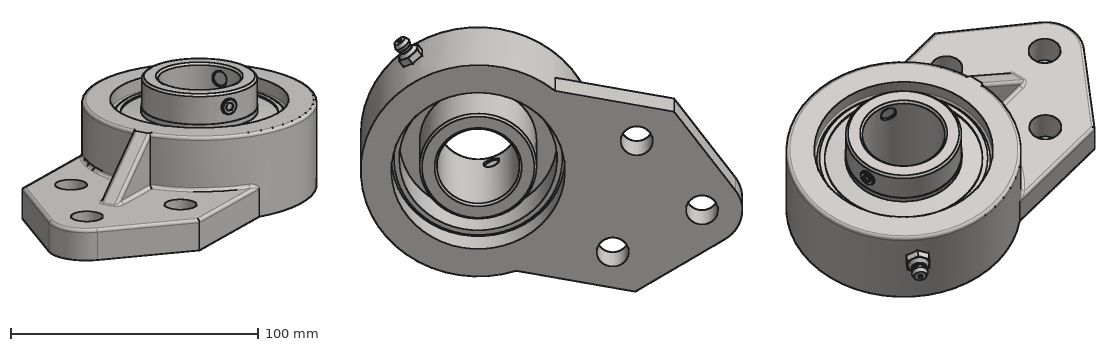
import cadquery as cq
import math


ring_diameter = 95.0
ring_radius = ring_diameter / 2
ring_height = 36.3
edge_radius = 1.4
overall_length = 156
flange_height = 13.4
flange_half_width = 41.2
flange_corner_y = -72.7
flange_tip_radius = 15.6
flange_tip_y = ring_radius - overall_length
bolt_hole_diameter = 13.0
side_hole_x = 25.5
side_hole_y = -60.4
tip_hole_y = -92.2
rib_width = 8.0
rib_foot_y = -74.9
seat_mouth_diameter = 72.2
seat_mouth_depth = 5.5

outer_ring_diameter = 70.2
outer_ring_chamfer = 1.1
outer_ring_top = 31.0
bearing_center_z = 20.9
outer_ring_width = 2 * (outer_ring_top - bearing_center_z)
seal_diameter = 63.8
seal_recess = 0.6
seal_rise = 1.0
seal_thickness = 2.3
inner_ring_diameter = 47.3
inner_ring_bottom = 3.5
inner_ring_shoulder_z = 33.5
collar_diameter = 46.8
collar_top = 46.3
collar_chamfer = 1.0
bore_diameter = 33.4

screw_diameter = 6.7
screw_end_diameter = 6.0
screw_z = 40.2
screw_inner_end = 17.2
screw_outer_end = 24.3
screw_angles = (90, -30)
socket_width = 3.1
socket_depth = 0.6

nipple_z = 23.2
nipple_angle = 135
nipple_hole_bottom = 42.7
nipple_hex_end = 50.5
nipple_neck_start = 52.1
nipple_neck_end = 53.4
nipple_head = 54.9
nipple_face = 56.8
nipple_tip = 57.4
nipple_hex_width = 9.0
nipple_shank_diameter = 6.0
nipple_cone_diameter = 8.7
nipple_neck_diameter = 5.0
nipple_head_diameter = 6.7
nipple_face_diameter = 5.1
nipple_tip_diameter = 1.5

position_tolerance = 0.02


def radial_plane(angle, distance, z):
    """Plane facing away from the bearing axis; its local Y points up."""
    a = math.radians(angle)
    outward = (math.cos(a), math.sin(a), 0)
    sideways = (-math.sin(a), math.cos(a), 0)
    origin = (distance * outward[0], distance * outward[1], z)
    return cq.Plane(origin=origin, xDir=sideways, normal=outward)


def hexagon_corners(across_flats):
    """Across-corner size of a hexagon."""
    return across_flats / math.cos(math.radians(30))


def make_flange():
    """Plate with straight sides and a rounded tip tangent to the slanted edges."""
    tip_center_y = flange_tip_y + flange_tip_radius
    dx = flange_half_width
    dy = flange_corner_y - tip_center_y
    corner_distance = math.hypot(dx, dy)
    tangent_angle = math.atan2(dy, dx) - math.acos(flange_tip_radius / corner_distance)
    tangent_x = flange_tip_radius * math.cos(tangent_angle)
    tangent_y = tip_center_y + flange_tip_radius * math.sin(tangent_angle)
    return (
        cq.Workplane("XY")
        .moveTo(-flange_half_width, 0)
        .lineTo(-flange_half_width, flange_corner_y)
        .lineTo(-tangent_x, tangent_y)
        .threePointArc((0, flange_tip_y), (tangent_x, tangent_y))
        .lineTo(flange_half_width, flange_corner_y)
        .lineTo(flange_half_width, 0)
        .close()
        .extrude(flange_height)
    )


def make_rib():
    """Sloping rib from the ring's top edge down to the flange."""
    inner_y = -ring_radius + 2 * edge_radius
    rib = (
        cq.Workplane("YZ")
        .moveTo(inner_y, 0)
        .lineTo(inner_y, ring_height)
        .lineTo(-ring_radius, ring_height)
        .lineTo(rib_foot_y, flange_height)
        .lineTo(rib_foot_y, 0)
        .close()
        .extrude(rib_width / 2, both=True)
    )
    slope_middle = ((rib_foot_y - ring_radius) / 2, (flange_height + ring_height) / 2)
    for side in (-1, 1):
        edge_point = (side * rib_width / 2, *slope_middle)
        rib = rib.edges(cq.selectors.NearestToPointSelector(edge_point)).fillet(edge_radius)
    return rib


def is_on_flange_top(edge):
    """True for the rim of the flange top and for the corners at the foot of the ring and rib."""
    box = edge.BoundingBox()
    starts_there = abs(box.zmin - flange_height) < position_tolerance
    ends_there = abs(box.zmax - flange_height) < position_tolerance
    return starts_there and ends_there


def make_housing():
    ring = cq.Workplane("XY").circle(ring_radius).extrude(ring_height)
    ring = ring.faces(">Z").edges().fillet(edge_radius)
    housing = ring.union(make_flange()).union(make_rib())
    flange_edges = [edge for edge in housing.edges().vals() if is_on_flange_top(edge)]
    housing = housing.newObject(flange_edges).fillet(edge_radius)

    bolt_holes = [(-side_hole_x, side_hole_y), (side_hole_x, side_hole_y), (0, tip_hole_y)]
    housing = housing.cut(
        cq.Workplane("XY").pushPoints(bolt_holes).circle(bolt_hole_diameter / 2).extrude(ring_height)
    )
    return housing.cut(make_bearing_seat()).cut(make_nipple_shank())


def make_bearing_seat():
    """Through bore for the outer ring and a wider mouth with a rounded bottom corner."""
    seat_radius = outer_ring_diameter / 2
    mouth_radius = seat_mouth_diameter / 2
    mouth_z = ring_height - seat_mouth_depth
    floor_z = mouth_z - (mouth_radius - seat_radius)
    return (
        cq.Workplane("XZ")
        .moveTo(0, 0)
        .lineTo(seat_radius, 0)
        .lineTo(seat_radius, floor_z)
        .radiusArc((mouth_radius, mouth_z), seat_radius - mouth_radius)
        .lineTo(mouth_radius, ring_height)
        .lineTo(0, ring_height)
        .close()
        .revolve(360, (0, 0, 0), (0, 1, 0))
    )


def make_outer_ring():
    ring = (
        cq.Workplane("XY", origin=(0, 0, outer_ring_top - outer_ring_width))
        .circle(outer_ring_diameter / 2)
        .circle(seal_diameter / 2)
        .extrude(outer_ring_width)
    )
    outer_edges = ring.edges(cq.selectors.RadiusNthSelector(-1))
    return outer_edges.chamfer(outer_ring_chamfer)


def make_seal():
    """Slightly conical ring that closes the gap between the two bearing rings."""
    rim_z = outer_ring_top - seal_recess
    return (
        cq.Workplane("XZ")
        .moveTo(inner_ring_diameter / 2, rim_z + seal_rise)
        .lineTo(seal_diameter / 2, rim_z)
        .lineTo(seal_diameter / 2, rim_z - seal_thickness)
        .lineTo(inner_ring_diameter / 2, rim_z - seal_thickness)
        .close()
        .revolve(360, (0, 0, 0), (0, 1, 0))
    )


def make_inner_ring():
    """Ring with a slightly smaller collar that carries the set screws."""
    lower = (
        cq.Workplane("XY", origin=(0, 0, inner_ring_bottom))
        .circle(inner_ring_diameter / 2)
        .extrude(inner_ring_shoulder_z - inner_ring_bottom)
    )
    collar = (
        cq.Workplane("XY", origin=(0, 0, inner_ring_bottom))
        .circle(collar_diameter / 2)
        .extrude(collar_top - inner_ring_bottom)
    )
    ring = lower.union(collar).faces(">Z").workplane().hole(bore_diameter)
    ring = ring.faces("<Z or >Z").edges().chamfer(collar_chamfer)
    for angle in screw_angles:
        screw_hole = (
            cq.Workplane(radial_plane(angle, 0, screw_z))
            .circle(screw_diameter / 2)
            .extrude(collar_diameter)
        )
        ring = ring.cut(screw_hole)
    return ring


def make_set_screw(angle):
    end_chamfer = (screw_diameter - screw_end_diameter) / 2
    screw = (
        cq.Workplane(radial_plane(angle, screw_inner_end, screw_z))
        .circle(screw_diameter / 2)
        .extrude(screw_outer_end - screw_inner_end)
        .edges("%CIRCLE")
        .chamfer(end_chamfer)
    )
    socket = (
        cq.Workplane(radial_plane(angle, screw_outer_end, screw_z))
        .polygon(6, hexagon_corners(socket_width))
        .extrude(-socket_depth)
    )
    return screw.cut(socket)


def make_nipple_shank():
    """Plain shank and hexagon of the grease nipple; also the tool that cuts its hole."""
    shank = (
        cq.Workplane(radial_plane(nipple_angle, nipple_hole_bottom, nipple_z))
        .circle(nipple_shank_diameter / 2)
        .extrude(nipple_hex_end - nipple_hole_bottom)
    )
    hex_start = ring_radius - edge_radius
    hexagon = (
        cq.Workplane(radial_plane(nipple_angle, hex_start, nipple_z))
        .transformed(rotate=(0, 0, 90))
        .polygon(6, hexagon_corners(nipple_hex_width))
        .extrude(nipple_hex_end - hex_start)
    )
    return shank.union(hexagon)


def make_nipple():
    """Grease nipple: shank and hexagon with a conical shoulder, a necked head and a small tip."""
    head_profile = [
        (nipple_hex_end, nipple_cone_diameter),
        (nipple_neck_start, nipple_shank_diameter),
        (nipple_neck_start, nipple_neck_diameter),
        (nipple_neck_end, nipple_neck_diameter),
        (nipple_neck_end, nipple_shank_diameter),
        (nipple_head, nipple_head_diameter),
        (nipple_face, nipple_face_diameter),
        (nipple_face, nipple_tip_diameter),
        (nipple_tip, nipple_tip_diameter),
    ]
    points = [(nipple_hex_end, 0)]
    points += [(distance, diameter / 2) for distance, diameter in head_profile]
    points += [(nipple_tip, 0)]
    head = (
        cq.Workplane("XZ", origin=(0, 0, nipple_z))
        .polyline(points)
        .close()
        .revolve(360, (0, 0, 0), (1, 0, 0))
        .rotate((0, 0, 0), (0, 0, 1), nipple_angle)
    )
    return make_nipple_shank().union(head)


housing = make_housing()
outer_ring = make_outer_ring()
seal = make_seal()
inner_ring = make_inner_ring()
set_screws = [make_set_screw(angle) for angle in screw_angles]
nipple = make_nipple()

result = cq.Compound.makeCompound([
    housing.val(),
    outer_ring.val(),
    seal.val(),
    inner_ring.val(),
    *[screw.val() for screw in set_screws],
    nipple.val(),
])